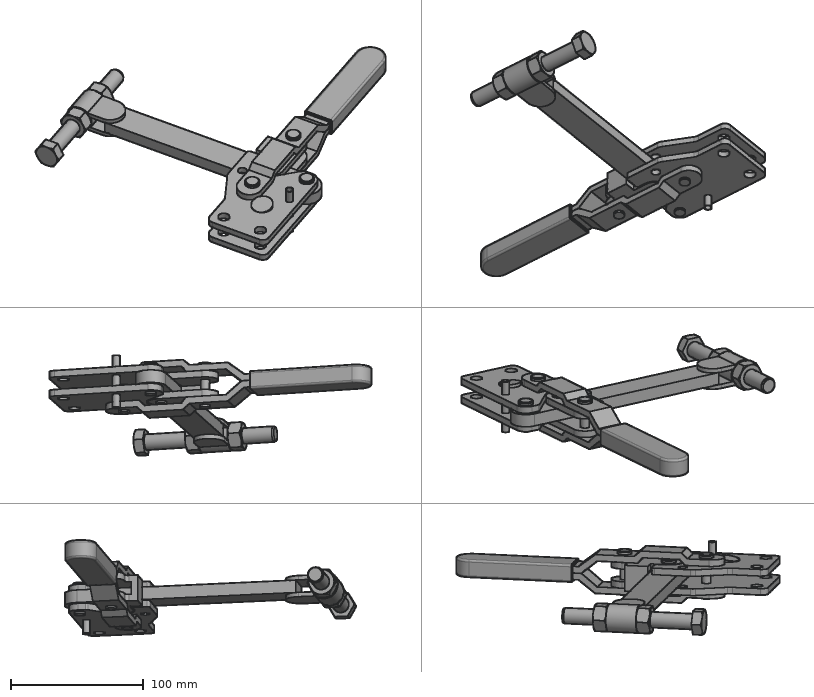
import cadquery as cq
import math


arm_thickness = 9.7
plate_thickness = 5.0
arm_face = arm_thickness / 2
base_face = arm_face + plate_thickness
handle_face = base_face + plate_thickness

pivot_x = 30.7
pivot_y = 78.0
arm_pivot = (pivot_x, pivot_y)
link_arm_pivot = (0, pivot_y)
handle_base_pivot = (0, 49.0)
handle_link_pivot = (0, 112.0)

rivet_radius = 3.5
rivet_head_radius = 5.5
rivet_head_height = 2.5
rivet_head_chamfer = 0.7
rivet_tail_radius = 4.0
rivet_tail_height = 1.7

base_right = pivot_x + 8.2
base_top = pivot_y + 8.2
base_pivot_corner_radius = 8.2
base_left = -12.0
base_bottom_corner_radius = 5.0
wing_left = -24.5
wing_lower_y = 54.0
wing_root_y = 28.2
wing_bend_radius = 8.5
wing_corner_radius = 2.2
notch_radius = 11.0
notch_crest_radius = 2.5
wing_hole = (-16.7, 63.5)
wing_hole_radius = 3.5
mounting_holes = [(-2.5, 9.7), (29.2, 9.7)]
mounting_hole_radius = 4.3
stop_pin_center = (31.0, 51.2)
stop_pin_radius = 3.0
stop_pin_bore_radius = 2.5
stop_pin_length = 40.0
button_center = (16.2, 35.3)
button_radius = 8.2
button_low_height = 0.2
button_high_height = 2.7

arm_half_width = 11.3
arm_tip_x = -137.1
spindle_x = -158.9

holder_radius = 10.6
holder_half_length = 11.5
cheek_thickness = 3.5
cheek_round_x = -139.0

spindle_radius = 6.0
spindle_top = 124.3
spindle_bottom = 16.0
spindle_tip_chamfer_width = 0.7
spindle_tip_chamfer_length = 1.5
nut_flats = 19.3
nut_height = 10.1
bolt_head_flats = 17.9
bolt_head_height = 7.7
hexagon_chamfer_angle = 30

strap_half_width = 10.0
strap_gap = 0.15
strap_end_y = 45.2
strap_joggle = 4.3
grip_bottom = 149.7
grip_top = 241.5
grip_half_width = 11.8
grip_half_thickness = 7.0
grip_edge_fillet = 1.7
grip_bottom_chamfer = 0.7

link_radius = 10.1
link_web_left = -19.5
link_web_bottom = 89.8
link_web_top = 107.7
link_web_fillet = 2.5


def cylinder(center, radius, z_low, z_high):
    """A cylinder along Z between two heights."""
    return cq.Workplane("XY", origin=(*center, z_low)).circle(radius).extrude(z_high - z_low)


def through_hole(center, radius):
    """A cutter along Z that passes through every layer."""
    return cylinder(center, radius, -stop_pin_length, stop_pin_length)


def rivet(center, face):
    """A rivet through plates whose outer faces lie at +face and -face, headed at the top."""
    shank = cylinder(center, rivet_radius, -face, face)
    head = cylinder(center, rivet_head_radius, face, face + rivet_head_height)
    head = head.faces(">Z").edges().chamfer(rivet_head_chamfer)
    tail = cylinder(center, rivet_tail_radius, -face - rivet_tail_height, -face)
    return shank.union(head).union(tail)


def plate_pair(outline_plate):
    """Copies a plate built at the +Z side to the -Z side as well."""
    return outline_plate.union(outline_plate.mirror("XY"))


def base_plate():
    """One base plate, notched around the lower end of the link."""
    diagonal = math.sqrt(0.5)
    notch_exit_x = notch_radius * diagonal
    notch_exit_y = pivot_y - notch_radius * diagonal
    crest_x = notch_exit_x + base_top - notch_exit_y
    mid_angle = math.radians(-112.5)
    notch_middle = (notch_radius * math.cos(mid_angle), pivot_y + notch_radius * math.sin(mid_angle))
    plate = (
        cq.Workplane("XY", origin=(0, 0, arm_face))
        .moveTo(base_left, 0)
        .lineTo(base_right, 0)
        .lineTo(base_right, base_top)
        .lineTo(crest_x, base_top)
        .lineTo(notch_exit_x, notch_exit_y)
        .threePointArc(notch_middle, (-notch_radius, pivot_y))
        .lineTo(-notch_radius, base_top)
        .lineTo(wing_left, base_top)
        .lineTo(wing_left, wing_lower_y)
        .lineTo(base_left, wing_root_y)
        .close()
        .extrude(plate_thickness)
    )
    rounded_corners = [
        (base_left, 0, base_bottom_corner_radius),
        (base_right, 0, base_bottom_corner_radius),
        (base_right, base_top, base_pivot_corner_radius),
        (crest_x, base_top, notch_crest_radius),
        (-notch_radius, base_top, wing_corner_radius),
        (wing_left, base_top, wing_corner_radius),
        (wing_left, wing_lower_y, wing_bend_radius),
        (base_left, wing_root_y, wing_bend_radius),
    ]
    mid_height = arm_face + plate_thickness / 2
    for x, y, radius in rounded_corners:
        plate = plate.edges(cq.NearestToPointSelector((x, y, mid_height))).fillet(radius)
    plate = plate.cut(through_hole(wing_hole, wing_hole_radius))
    for hole in mounting_holes:
        plate = plate.cut(through_hole(hole, mounting_hole_radius))
    return plate


def base_button():
    """A round button on the upper base plate, with a flat top that slopes down towards -Y."""
    x, y = button_center
    wedge = (
        cq.Workplane("YZ", origin=(x - button_radius, 0, 0))
        .moveTo(y - button_radius, base_face)
        .lineTo(y + button_radius, base_face)
        .lineTo(y + button_radius, base_face + button_high_height)
        .lineTo(y - button_radius, base_face + button_low_height)
        .close()
        .extrude(2 * button_radius)
    )
    return wedge.intersect(cylinder(button_center, button_radius, base_face, 2 * base_face))


def make_base():
    """Two plates joined by the arm rivet, the handle rivet and the hollow stop pin."""
    stop_pin = cylinder(stop_pin_center, stop_pin_radius, -stop_pin_length / 2, stop_pin_length / 2)
    return (
        plate_pair(base_plate())
        .union(rivet(arm_pivot, base_face))
        .union(rivet(handle_base_pivot, handle_face))
        .union(stop_pin)
        .cut(through_hole(stop_pin_center, stop_pin_bore_radius))
        .union(base_button())
    )


def arm_bar():
    """The flat bar, rounded about its pivot."""
    bar_length = pivot_x - arm_tip_x
    bar = cq.Workplane("XY", origin=(arm_tip_x + bar_length / 2, pivot_y, 0)).box(
        bar_length, 2 * arm_half_width, arm_thickness
    )
    bar = bar.union(cylinder(arm_pivot, arm_half_width, -arm_face, arm_face))
    for pivot in (arm_pivot, link_arm_pivot):
        bar = bar.cut(through_hole(pivot, rivet_radius))
    return bar


def along_spindle(profile_plane_y):
    """A workplane across the spindle at the given Y; it extrudes towards -Y."""
    return cq.Workplane("XZ", origin=(spindle_x, profile_plane_y, 0))


def spindle_cylinder(radius, y_low, y_high):
    """A cylinder on the spindle axis between two Y positions."""
    return along_spindle(y_high).circle(radius).extrude(y_high - y_low)


def hexagon(flats, y_low, y_high):
    """A hexagon on the spindle axis with corners towards -X and +X."""
    corner_diameter = flats / math.cos(math.radians(30))
    return along_spindle(y_high).polygon(6, corner_diameter).extrude(y_high - y_low)


def chamfered_hexagon(flats, y_low, y_high, chamfered_end):
    """A hexagon whose corners are turned off conically at the selected end."""
    corner_radius = flats / 2 / math.cos(math.radians(30))
    width = corner_radius - flats / 2
    length = width * math.tan(math.radians(hexagon_chamfer_angle))
    turned = spindle_cylinder(corner_radius, y_low, y_high)
    turned = turned.faces(chamfered_end).edges().chamfer(length, width)
    return hexagon(flats, y_low, y_high).intersect(turned)


def spindle_holder():
    """A tube across the arm tip with two cheeks that grip the bar."""
    holder = spindle_cylinder(holder_radius, pivot_y - holder_half_length, pivot_y + holder_half_length)
    cheek_length = cheek_round_x - spindle_x
    cheek = (
        cq.Workplane("XY", origin=(spindle_x, pivot_y, arm_face))
        .moveTo(0, -holder_half_length)
        .lineTo(cheek_length, -holder_half_length)
        .threePointArc((cheek_length + holder_half_length, 0), (cheek_length, holder_half_length))
        .lineTo(0, holder_half_length)
        .close()
        .extrude(cheek_thickness)
    )
    return holder.union(plate_pair(cheek))


def spindle():
    """The bolt and its two nuts, one on each side of the holder."""
    shank = spindle_cylinder(spindle_radius, spindle_bottom + bolt_head_height, spindle_top)
    shank = shank.faces(">Y").edges().chamfer(spindle_tip_chamfer_length, spindle_tip_chamfer_width)
    head = chamfered_hexagon(bolt_head_flats, spindle_bottom, spindle_bottom + bolt_head_height, "<Y")
    upper_seat = pivot_y + holder_half_length
    lower_seat = pivot_y - holder_half_length
    upper_nut = chamfered_hexagon(nut_flats, upper_seat, upper_seat + nut_height, ">Y or <Y")
    lower_nut = chamfered_hexagon(nut_flats, lower_seat - nut_height, lower_seat, ">Y or <Y")
    return shank.union(head).union(upper_nut).union(lower_nut)


def make_arm():
    """The bar with its spindle holder and spindle."""
    return arm_bar().union(spindle_holder()).union(spindle())


def handle_strap():
    """The upper strap: bent out from the grip and joggled clear of the link rivet."""
    grip_level = strap_gap / 2
    raised_level = base_face + strap_joggle
    inner_bends = [
        (grip_bottom, grip_level),
        (143.0, grip_level),
        (130.9, base_face),
        (99.7, base_face),
        (96.0, raised_level),
        (67.5, raised_level),
        (63.3, base_face),
    ]
    outer_bends = [
        (61.3, base_face),
        (66.2, raised_level),
        (97.5, raised_level),
        (102.5, base_face),
        (132.5, base_face),
        (145.4, grip_level),
        (grip_bottom, grip_level),
    ]
    strap_tip = strap_end_y - strap_half_width
    lower_line = inner_bends + [(strap_tip, base_face)]
    upper_line = [(y, z + plate_thickness) for y, z in [(strap_tip, base_face)] + outer_bends]
    strap = (
        cq.Workplane("YZ", origin=(-strap_half_width, 0, 0))
        .polyline(lower_line + upper_line)
        .close()
        .extrude(2 * strap_half_width)
    )
    straight_length = grip_bottom - strap_end_y
    planform = (
        cq.Workplane("XY")
        .rect(2 * strap_half_width, 2 * straight_length)
        .extrude(2 * handle_face)
        .translate((0, grip_bottom, 0))
        .union(cylinder((0, strap_end_y), strap_half_width, 0, 2 * handle_face))
    )
    return strap.intersect(planform)


def grip():
    """The hand grip, round at its free end."""
    round_y = grip_top - grip_half_width
    body = (
        cq.Workplane("XY", origin=(0, 0, -grip_half_thickness))
        .moveTo(-grip_half_width, grip_bottom)
        .lineTo(grip_half_width, grip_bottom)
        .lineTo(grip_half_width, round_y)
        .threePointArc((0, grip_top), (-grip_half_width, round_y))
        .close()
        .extrude(2 * grip_half_thickness)
    )
    body = body.faces("|Z").edges("not <Y").fillet(grip_edge_fillet)
    return body.faces("<Y").edges().chamfer(grip_bottom_chamfer)


def make_handle():
    """Two straps held together by the grip and by the rivet of the link."""
    straps = plate_pair(handle_strap()).cut(through_hole(handle_base_pivot, rivet_radius))
    return straps.union(grip()).union(rivet(handle_link_pivot, handle_face))


def link_outline(z_low, z_high):
    """The link shape: a round-ended bar with a square wing above the arm."""
    upper_y = handle_link_pivot[1]
    outline = (
        cq.Workplane("XY", origin=(0, 0, z_low))
        .moveTo(link_radius, pivot_y)
        .lineTo(link_radius, upper_y)
        .threePointArc((0, upper_y + link_radius), (-link_radius, upper_y))
        .lineTo(-link_radius, link_web_top)
        .lineTo(link_web_left, link_web_top)
        .lineTo(link_web_left, link_web_bottom)
        .lineTo(-link_radius, link_web_bottom)
        .lineTo(-link_radius, pivot_y)
        .threePointArc((0, pivot_y - link_radius), (link_radius, pivot_y))
        .close()
        .extrude(z_high - z_low)
    )
    inner_corner = (-link_radius, link_web_top, (z_low + z_high) / 2)
    return outline.edges(cq.NearestToPointSelector(inner_corner)).fillet(link_web_fillet)


def make_link():
    """Two link plates, bridged by a web along the outer edge of their wings."""
    web_height = link_web_top - link_web_bottom
    web = cq.Workplane("XY").box(plate_thickness, web_height, 2 * base_face).translate(
        (link_web_left + plate_thickness / 2, link_web_bottom + web_height / 2, 0)
    )
    plates = plate_pair(link_outline(arm_face, base_face))
    plates = plates.cut(through_hole(handle_link_pivot, rivet_radius))
    return plates.union(web).union(rivet(link_arm_pivot, base_face))


base = make_base()
arm = make_arm()
handle = make_handle()
link = make_link()

result = cq.Compound.makeCompound([base.val(), arm.val(), handle.val(), link.val()])